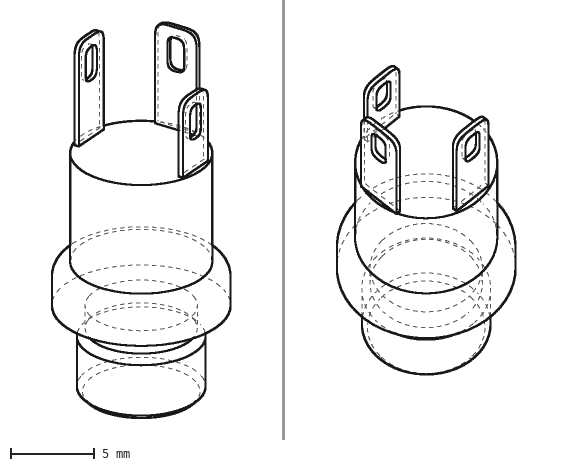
import cadquery as cq

total_height = 22.8
barrel_diameter = 8.5
barrel_top = 15.98
collar_diameter = 10.7
collar_bottom = 5.77
collar_top = 8.7
collar_round = 1.0
neck_diameter = 6.7
nose_diameter = 7.7
nose_top = 3.72
nose_chamfer = 0.35
neck_bottom = 4.25

tab_thickness = 0.32
tab_corner_length = 1.0
corner_fullness = 0.75
side_tab_width = 2.71
back_tab_width = 2.99
side_tab_offset = 3.75
back_tab_offset = 3.88
tall_tab_height = total_height - barrel_top
short_tab_height = tall_tab_height - 1.8
slot_width = 1.19
slot_height = 2.23
slot_corner_length = slot_width / 2
slot_top_margin = 0.7


def make_housing():
    """Revolve the half profile of nose, neck, collar and barrel about Z."""
    barrel_radius = barrel_diameter / 2
    collar_radius = collar_diameter / 2
    neck_radius = neck_diameter / 2
    nose_radius = nose_diameter / 2
    round_center = (collar_radius - collar_round, collar_top - collar_round)
    diagonal = collar_round * 0.5 ** 0.5
    profile = (
        cq.Workplane("XZ")
        .lineTo(nose_radius - nose_chamfer, 0)
        .lineTo(nose_radius, nose_chamfer)
        .lineTo(nose_radius, nose_top)
        .lineTo(neck_radius, neck_bottom)
        .lineTo(neck_radius, collar_bottom)
        .lineTo(collar_radius, collar_bottom)
        .lineTo(collar_radius, round_center[1])
        .threePointArc(
            (round_center[0] + diagonal, round_center[1] + diagonal),
            (round_center[0], collar_top),
        )
        .lineTo(barrel_radius, collar_top)
        .lineTo(barrel_radius, barrel_top)
        .lineTo(0, barrel_top)
        .close()
    )
    return profile.revolve(360, (0, 0), (0, 1))


def soft_corner(start, corner, end):
    """Control points of a full rounded corner, tangent to both edges that meet at corner."""
    def toward_corner(point):
        return tuple(p + corner_fullness * (c - p) for p, c in zip(point, corner))

    return [start, toward_corner(start), toward_corner(end), end]


def make_tab(width, height):
    """Upright plate with two rounded top corners, its front face on y = 0."""
    side = width / 2
    shoulder = height - tab_corner_length
    top_end = side - tab_corner_length
    return (
        cq.Workplane("XZ")
        .moveTo(-side, 0)
        .lineTo(side, 0)
        .lineTo(side, shoulder)
        .bezier(soft_corner((side, shoulder), (side, height), (top_end, height)))
        .lineTo(-top_end, height)
        .bezier(soft_corner((-top_end, height), (-side, height), (-side, shoulder)))
        .close()
        .extrude(-tab_thickness)
    )


def make_slot(top):
    """Cutter for a slot whose rounded corners meet at the middle of each end."""
    side = slot_width / 2
    bottom = top - slot_height
    upper = top - slot_corner_length
    lower = bottom + slot_corner_length
    return (
        cq.Workplane("XZ")
        .moveTo(side, lower)
        .lineTo(side, upper)
        .bezier(soft_corner((side, upper), (side, top), (0, top)))
        .bezier(soft_corner((0, top), (-side, top), (-side, upper)))
        .lineTo(-side, lower)
        .bezier(soft_corner((-side, lower), (-side, bottom), (0, bottom)))
        .bezier(soft_corner((0, bottom), (side, bottom), (side, lower)))
        .close()
        .extrude(-tab_thickness)
    )


def make_terminal(width, height, offset, angle):
    """Slotted tab centered at offset along +Y, then turned about Z by angle."""
    tab = make_tab(width, height).cut(make_slot(height - slot_top_margin))
    placed = tab.translate((0, offset - tab_thickness / 2, barrel_top))
    return placed.rotate((0, 0, 0), (0, 0, 1), angle)


housing = make_housing()

terminal_layout = [
    (back_tab_width, tall_tab_height, back_tab_offset, 0),
    (side_tab_width, tall_tab_height, side_tab_offset, 90),
    (side_tab_width, short_tab_height, side_tab_offset, -90),
]
terminals = [make_terminal(*placement) for placement in terminal_layout]

result = cq.Compound.makeCompound([housing.val(), *[terminal.val() for terminal in terminals]])